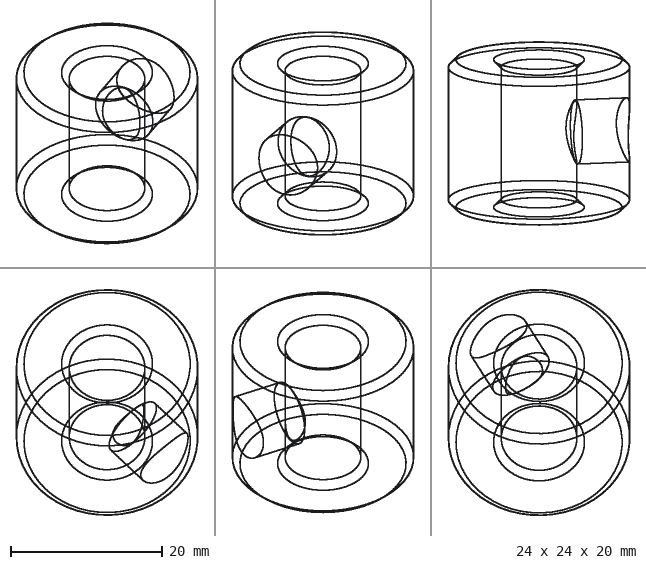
import cadquery as cq
import math

outer_diameter = 24.0
height = 20.0
bore_diameter = 10.0
chamfer = 1.0
side_hole_diameter = 8.5
side_hole_depth = 6.95
drill_tip_angle = 118.0

outer_radius = outer_diameter / 2
side_hole_radius = side_hole_diameter / 2

collar = (
    cq.Workplane("XY")
    .circle(outer_radius)
    .circle(bore_diameter / 2)
    .extrude(height)
    .faces("<Z or >Z")
    .edges()
    .chamfer(chamfer)
)

shoulder_y = outer_radius - side_hole_depth
tip_length = side_hole_radius / math.tan(math.radians(drill_tip_angle / 2))
side_hole = (
    cq.Workplane("XY", origin=(0, 0, height / 2))
    .moveTo(0, outer_radius)
    .lineTo(side_hole_radius, outer_radius)
    .lineTo(side_hole_radius, shoulder_y)
    .lineTo(0, shoulder_y - tip_length)
    .close()
    .revolve(360, (0, 0, 0), (0, 1, 0))
)

result = collar.cut(side_hole)